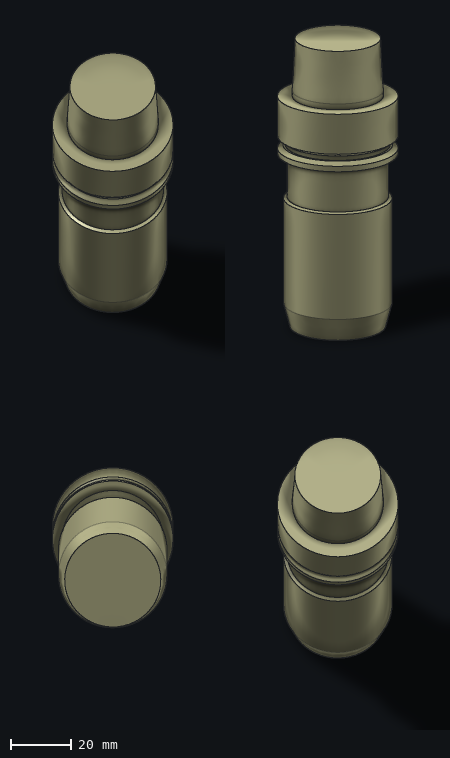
import cadquery as cq

total_height = 100.0
shank_base_height = 82.0
flange_top = 80.0
flange_bottom = 60.0
body_top = 45.0
nose_height = 8.0

shank_top_diameter = 28.4
shank_base_diameter = 30.2
flange_diameter = 40.0
groove_diameter = 34.8
neck_diameter = 33.6
body_diameter = 36.0
nose_tip_diameter = 31.8

groove_middle = 64.0
groove_width = 1.8
groove_bevel_height = 1.2
groove_bevel_depth = 1.8

body_shoulder_height = 0.5


def turned(*profile):
    """Revolve a (radius, height) profile around Z, closing it along the axis."""
    bottom = profile[0][1]
    top = profile[-1][1]
    outline = [(0, bottom), *profile, (0, top)]
    return cq.Workplane("XZ").polyline(outline).close().revolve(360, (0, 0), (0, 1))


def cylinder(diameter, bottom, top):
    return turned((diameter / 2, bottom), (diameter / 2, top))


def make_body():
    """Gripping body with a tapered nose below and a shallow sloped shoulder up to the neck."""
    radius = body_diameter / 2
    return turned(
        (nose_tip_diameter / 2, 0),
        (radius, nose_height),
        (radius, body_top - body_shoulder_height),
        (neck_diameter / 2, body_top),
    )


def make_flange():
    """Wide collar cut by a square-bottomed groove with bevelled rims."""
    rim_radius = flange_diameter / 2
    bevel_radius = rim_radius - groove_bevel_depth
    groove_radius = groove_diameter / 2
    groove_bottom = groove_middle - groove_width / 2
    groove_top = groove_middle + groove_width / 2
    return turned(
        (rim_radius, flange_bottom),
        (rim_radius, groove_bottom - groove_bevel_height),
        (bevel_radius, groove_bottom),
        (groove_radius, groove_bottom),
        (groove_radius, groove_top),
        (bevel_radius, groove_top),
        (rim_radius, groove_top + groove_bevel_height),
        (rim_radius, flange_top),
    )


def make_shank():
    """Short cylinder on the flange, continued by a slender taper."""
    base_radius = shank_base_diameter / 2
    return turned(
        (base_radius, flange_top),
        (base_radius, shank_base_height),
        (shank_top_diameter / 2, total_height),
    )


neck = cylinder(neck_diameter, body_top, flange_bottom)
result = make_body().union(neck).union(make_flange()).union(make_shank())